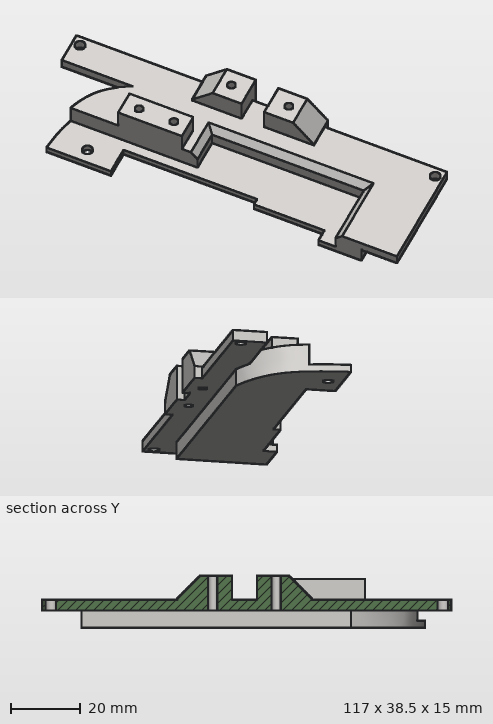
import cadquery as cq

floor_top = 2.1
plate_bottom = 4.9
plate_top = 8.1
boss_top = 14.0
block_top = 15.0

length = 117.0
depth = 38.5
plate_back = 36.3
plate_front = 2.5
arm_front = 26.3
body_back = 28.9
body_right = 105.8

tab_left = 7.5
end_curve_points = ((8.9, 9.0), (13.6, 19.5), (22.3, 26.3), (28.7, body_back))
tab_right = 27.8

floor_front = 8.5
floor_step_x = 70.0
floor_step_front = 6.4
floor_right = 92.2

pocket_left = 49.7
pocket_right = 97.6
pocket_back = 21.5
rim_bevel = 2.1
ledge_front = 11.7

boss_left = 24.7
boss_length = 20.1
boss_depth = 7.6
boss_hole_inset = 4.8
boss_hole_spacing = 11.0

block_length = 15.7
block_slope = 6.5
left_block_x = 39.9
block_gap = 7.1
block_hole_inset = 5.5
block_hole_y = 33.8

mount_hole = 3.0
small_hole = 2.5
corner_hole_inset = 2.5
corner_hole_y = 33.5
tab_hole_x = 18.5
tab_hole_y = 4.2


def box(x0, x1, y0, y1, z0, z1):
    return cq.Workplane("XY").box(x1 - x0, y1 - y0, z1 - z0, centered=False).translate((x0, y0, z0))


def hole(x, y, diameter, z0, z1):
    return cq.Workplane("XY", origin=(x, y, z0)).circle(diameter / 2).extrude(z1 - z0)


def make_body():
    """Rounded body from the underside to the plate top, with the stepped front edge."""
    return (
        cq.Workplane("XY")
        .moveTo(tab_left, 0)
        .lineTo(tab_right, 0)
        .lineTo(tab_right, floor_front)
        .lineTo(floor_step_x, floor_front)
        .lineTo(floor_step_x, floor_step_front)
        .lineTo(floor_right, floor_step_front)
        .lineTo(floor_right, plate_front)
        .lineTo(body_right, plate_front)
        .lineTo(body_right, body_back)
        .lineTo(*end_curve_points[-1])
        .spline([*reversed(end_curve_points[:-1]), (tab_left, 0)], includeCurrent=True)
        .close()
        .extrude(plate_top)
    )


def make_plate():
    """Thin plate: a bar along the back and a wing at the right."""
    bar = box(0, length, arm_front, plate_back, plate_bottom, plate_top)
    wing = box(pocket_right, length, plate_front, plate_back, plate_bottom, plate_top)
    return bar.union(wing)


def make_pocket():
    """Recess down to the floor, open to the front, with a bevelled rim."""
    recess = box(pocket_left, pocket_right, 0, pocket_back, floor_top, plate_top)
    front_strip = box(0, pocket_right, 0, ledge_front, floor_top, plate_top)
    bevel_front = -2 * rim_bevel
    bevel = (
        cq.Workplane("XY", origin=(0, 0, plate_top))
        .moveTo(pocket_left - rim_bevel, bevel_front)
        .lineTo(pocket_right + rim_bevel, bevel_front)
        .lineTo(pocket_right + rim_bevel, pocket_back + rim_bevel)
        .lineTo(pocket_left - rim_bevel, pocket_back + rim_bevel)
        .close()
        .extrude(-rim_bevel, taper=45)
    )
    return recess.union(front_strip).union(bevel)


def make_block(x, direction):
    """Block with its upright face at x and its slope on the side given by direction."""
    slope_foot = block_top - block_slope
    return (
        cq.Workplane("XZ", origin=(x, depth, 0))
        .moveTo(0, plate_bottom)
        .lineTo(direction * block_length, plate_bottom)
        .lineTo(direction * block_length, slope_foot)
        .lineTo(direction * (block_length - block_slope), block_top)
        .lineTo(0, block_top)
        .close()
        .extrude(depth - body_back)
    )


result = make_body().union(make_plate()).cut(make_pocket())

boss_back = ledge_front + boss_depth
boss_hole_y = ledge_front + boss_depth / 2
result = result.union(
    box(boss_left, boss_left + boss_length, ledge_front, boss_back, floor_top, boss_top)
)
for offset in (0, boss_hole_spacing):
    hole_x = boss_left + boss_hole_inset + offset
    result = result.cut(hole(hole_x, boss_hole_y, small_hole, plate_top, boss_top))

left_block_face = left_block_x + block_length
right_block_face = left_block_face + block_gap
for face_x, direction in ((left_block_face, -1), (right_block_face, 1)):
    hole_x = face_x + direction * block_hole_inset
    result = result.union(make_block(face_x, direction))
    result = result.cut(hole(hole_x, block_hole_y, small_hole, 0, block_top))

mount_points = (
    (corner_hole_inset, corner_hole_y),
    (length - corner_hole_inset, corner_hole_y),
    (tab_hole_x, tab_hole_y),
)
for x, y in mount_points:
    result = result.cut(hole(x, y, mount_hole, 0, plate_top))